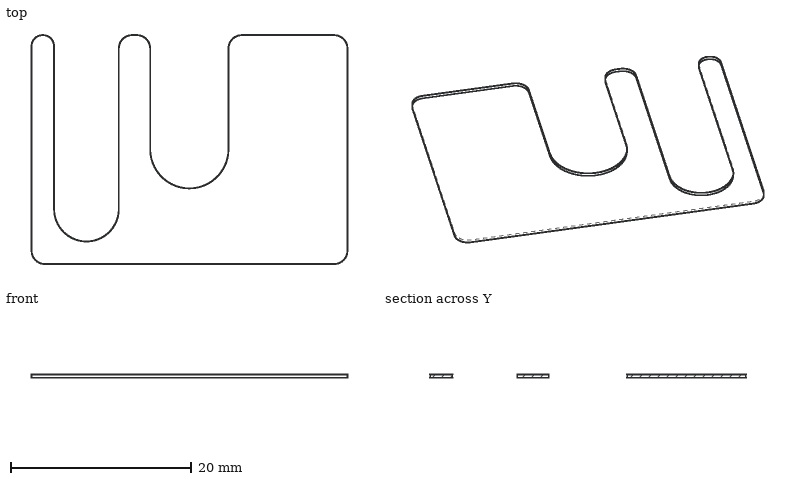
import cadquery as cq

length = 35.05
width = 25.4
thickness = 0.4
corner_radius = 1.5

narrow_finger_width = 2.52
narrow_slot_width = 7.15
narrow_slot_floor = 2.52
wide_finger_width = 3.5
wide_slot_width = 8.65
wide_slot_floor = 8.4

narrow_slot_left = narrow_finger_width
narrow_slot_right = narrow_slot_left + narrow_slot_width
wide_slot_left = narrow_slot_right + wide_finger_width
wide_slot_right = wide_slot_left + wide_slot_width

tip_radius = narrow_finger_width / 2
tip_shoulder = width - tip_radius


def add_slot_side_and_floor(outline, left, right, floor):
    """Run down a slot's right side and around its semicircular floor to its left side."""
    radius = (right - left) / 2
    shoulder = floor + radius
    return outline.lineTo(right, shoulder).threePointArc((left + radius, floor), (left, shoulder))


outline = cq.Workplane("XY").lineTo(length, 0).lineTo(length, width).lineTo(wide_slot_right, width)
outline = add_slot_side_and_floor(outline, wide_slot_left, wide_slot_right, wide_slot_floor)
outline = outline.lineTo(wide_slot_left, width).lineTo(narrow_slot_right, width)
outline = add_slot_side_and_floor(outline, narrow_slot_left, narrow_slot_right, narrow_slot_floor)

outline = outline.lineTo(narrow_finger_width, tip_shoulder)
outline = outline.threePointArc((tip_radius, width), (0, tip_shoulder))

plate = outline.close().extrude(thickness)

result = plate.edges("|Z and (>Y or <Y)").fillet(corner_radius)